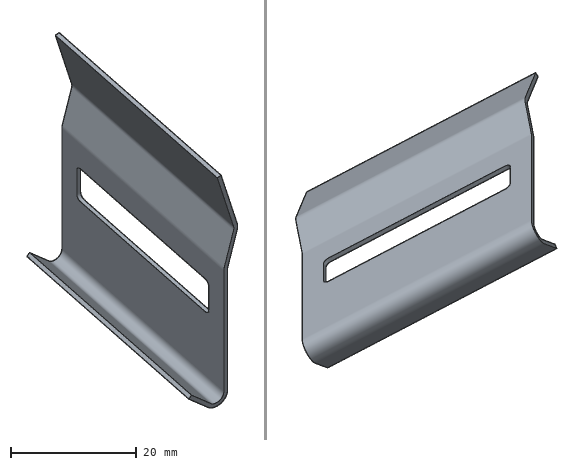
import cadquery as cq
import math

WIDTH = 43.0
DEPTH = 9.8
HEIGHT = 49.05

THICKNESS = 0.8
INNER_RADIUS = 1.5
OUTER_RADIUS = INNER_RADIUS + THICKNESS
MID_RADIUS = INNER_RADIUS + THICKNESS / 2
HOOK_LEAN = 45.0
LEAN = 15.0

WEB_LENGTH = 26.0
CROWN_OFFSET = 2.0

SLOT_WIDTH = 35.0
SLOT_HEIGHT = 7.0
SLOT_CENTRE_Z = 19.5
SLOT_CORNER_RADIUS = 1.0

sin_lean = math.sin(math.radians(LEAN))
cos_lean = math.cos(math.radians(LEAN))
sin_hook = math.sin(math.radians(HOOK_LEAN))
cos_hook = math.cos(math.radians(HOOK_LEAN))

slant_length = (CROWN_OFFSET - 2 * MID_RADIUS * (1 - cos_lean)) / sin_lean
hook_length = (DEPTH - CROWN_OFFSET - OUTER_RADIUS * (1 + cos_hook)) / sin_hook
bends_rise = OUTER_RADIUS + 3 * MID_RADIUS * sin_lean
top_edge_rise = THICKNESS / 2 * sin_lean
top_length = (HEIGHT - bends_rise - top_edge_rise - WEB_LENGTH) / cos_lean - slant_length


def beside(point, heading, distance):
    """Point at a distance to the left of a heading (degrees) in the YZ plane."""
    angle = math.radians(heading)
    return point[0] - distance * math.sin(angle), point[1] + distance * math.cos(angle)


def ahead(point, heading, distance):
    return beside(point, heading - 90, distance)


def sheet_profile(start, heading, legs):
    """Closed outline of a bent strip; legs are (length, following turn) pairs, left turns positive."""
    half = THICKNESS / 2
    point = start
    left = [beside(point, heading, half)]
    right = [beside(point, heading, -half)]
    for length, turn in legs:
        point = ahead(point, heading, length)
        left.append(beside(point, heading, half))
        right.append(beside(point, heading, -half))
        if turn:
            radius = math.copysign(MID_RADIUS, turn)
            centre = beside(point, heading, radius)
            for step in (turn / 2, turn):
                point = beside(centre, heading + step, -radius)
                left.append(beside(point, heading + step, half))
                right.append(beside(point, heading + step, -half))
            heading += turn

    outline = cq.Workplane("YZ").moveTo(*left[0]).lineTo(*left[1])
    for side in (left, right[::-1]):
        if side is not left:
            outline = outline.lineTo(*side[0]).lineTo(*side[1])
        for i in range(2, len(side) - 1, 3):
            outline = outline.threePointArc(side[i], side[i + 1])
            outline = outline.lineTo(*side[i + 2])
    return outline.close()


hook_heading = HOOK_LEAN - 90
hook_bend_start = beside((0, OUTER_RADIUS), hook_heading, -MID_RADIUS)
hook_tip = ahead(hook_bend_start, hook_heading, -hook_length)
legs = [
    (hook_length, 180 - HOOK_LEAN),
    (WEB_LENGTH, -LEAN),
    (slant_length, 2 * LEAN),
    (top_length, 0),
]
sheet = sheet_profile(hook_tip, hook_heading, legs).extrude(WIDTH / 2, both=True)

slot = (
    cq.Workplane("XY")
    .box(SLOT_WIDTH, 2 * THICKNESS, SLOT_HEIGHT)
    .edges("|Y")
    .fillet(SLOT_CORNER_RADIUS)
    .translate((0, MID_RADIUS, SLOT_CENTRE_Z))
)
result = sheet.cut(slot)